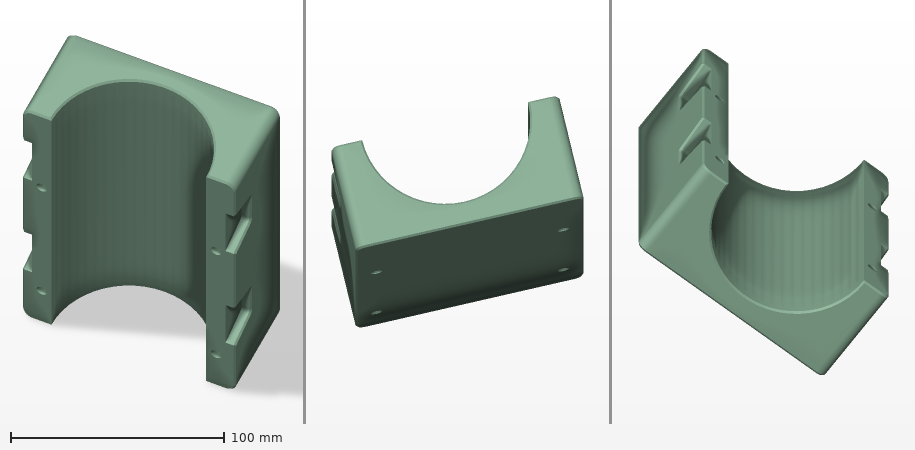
import cadquery as cq
import math

width = 110.0
depth = 50.9
height = 158.0
corner_radius = 5.0
edge_chamfer = 1.0

channel_radius = 40.0

hole_diameter = 5.4
hole_x = 45.0
upper_hole_z = 24.2
hole_spacing = height / 2

pocket_into_side = 5.0
pocket_depth = 18.0
pocket_mouth = 28.8
pocket_flank_angle = 15.0
pocket_corner_radius = 2.0
upper_pocket_z = 41.2
pocket_spacing = 70.2
clearance = 3.2


def make_block():
    block = (
        cq.Workplane("XY")
        .box(width, depth, height, centered=(True, False, True))
        .edges("|Y")
        .fillet(corner_radius)
    )
    return block.faces("<Y or >Y").edges().chamfer(edge_chamfer)


def make_channel():
    channel = cq.Workplane("XY").circle(channel_radius).extrude(height / 2, both=True)
    for end in (-1, 1):
        flare = cq.Solid.makeCone(
            channel_radius + edge_chamfer,
            channel_radius,
            edge_chamfer,
            cq.Vector(0, 0, end * height / 2),
            cq.Vector(0, 0, -end),
        )
        channel = channel.union(cq.Workplane(flare))
    return channel


def make_holes():
    centers = [(x, z) for x in (-hole_x, hole_x) for z in (upper_hole_z, upper_hole_z - hole_spacing)]
    return cq.Workplane("XZ").pushPoints(centers).circle(hole_diameter / 2).extrude(-depth)


def make_pocket(center_z):
    """Pocket cutter in the +X side, with its outer rim chamfered."""
    slope = math.tan(math.radians(pocket_flank_angle))
    half_floor = pocket_mouth / 2 - pocket_depth * slope
    half_front = pocket_mouth / 2 + clearance * slope

    def outline(x):
        wire = (
            cq.Workplane("YZ", origin=(x, 0, center_z))
            .moveTo(-clearance, -half_front)
            .lineTo(pocket_depth, -half_floor)
            .lineTo(pocket_depth, half_floor)
            .lineTo(-clearance, half_front)
            .close()
            .val()
        )
        floor_corners = [vertex for vertex in wire.Vertices() if vertex.Y > 0]
        return cq.Workplane("YZ", origin=(x, 0, center_z)).add(
            wire.fillet2D(pocket_corner_radius, floor_corners)
        ).toPending()

    recess = outline(width / 2 - pocket_into_side).extrude(pocket_into_side)
    rim = outline(width / 2 - edge_chamfer).extrude(edge_chamfer, taper=-45)
    return recess.union(rim)


result = make_block().cut(make_channel()).cut(make_holes())
for pocket_z in (upper_pocket_z, upper_pocket_z - pocket_spacing):
    pocket = make_pocket(pocket_z)
    result = result.cut(pocket).cut(pocket.mirror("YZ"))